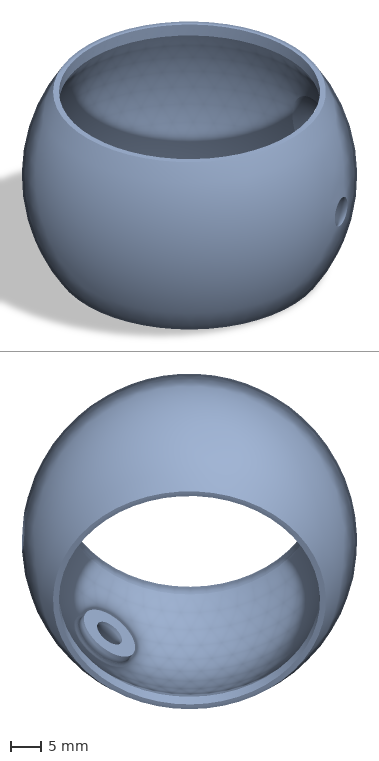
import cadquery as cq
import math

outer_radius = 27.5
wall = 2.0
inner_radius = outer_radius - wall
height = 32.0
opening_radius = 21.4

boss_radius = 5.1
boss_face_x = 22.95
boss_fillet = 0.5
bore_radius = 2.5

cone_hole_angle = 60.0
cone_hole_radius = 3.45
cone_start = 22.0
cone_end = outer_radius + 0.55


def make_band():
    """Hollow sphere cut flat at both ends, with cylindrical openings."""
    band = cq.Workplane("XY").sphere(outer_radius)
    band = band.intersect(cq.Workplane("XY").box(3 * outer_radius, 3 * outer_radius, height))
    opening = cq.Workplane("XY").circle(opening_radius).extrude(height, both=True)
    cavity = cq.Workplane("XY").sphere(inner_radius)
    cavity_height = 2 * math.sqrt(inner_radius**2 - opening_radius**2)
    cavity = cavity.intersect(cq.Workplane("XY").box(3 * outer_radius, 3 * outer_radius, cavity_height))
    return band.cut(opening).cut(cavity)


def add_boss(band):
    """Add the boss, blend its root into the wall and bore it through."""
    boss_length = (inner_radius + outer_radius) / 2 - boss_face_x
    boss = cq.Workplane("YZ", origin=(boss_face_x, 0, 0)).circle(boss_radius).extrude(boss_length)
    body = band.union(boss)
    root_x = math.sqrt(inner_radius**2 - boss_radius**2)
    margin = 0.3
    root_box = cq.selectors.BoxSelector(
        (root_x - margin, -boss_radius - margin, -boss_radius - margin),
        (inner_radius + margin, boss_radius + margin, boss_radius + margin),
        boundingbox=True,
    )
    body = body.edges(root_box).fillet(boss_fillet)
    bore = cq.Workplane("YZ").circle(bore_radius).extrude(2 * outer_radius)
    return body.cut(bore)


def make_cone_hole():
    """Cutter that narrows outward to the hole radius at the outer surface."""
    surface_distance = math.sqrt(outer_radius**2 - cone_hole_radius**2)
    start_radius = cone_hole_radius + surface_distance - cone_start
    end_radius = cone_hole_radius + surface_distance - cone_end
    angle = math.radians(cone_hole_angle)
    direction = cq.Vector(math.cos(angle), math.sin(angle), 0)
    return cq.Solid.makeCone(
        start_radius, end_radius, cone_end - cone_start, direction * cone_start, direction
    )


result = add_boss(make_band()).cut(cq.Workplane(make_cone_hole()))